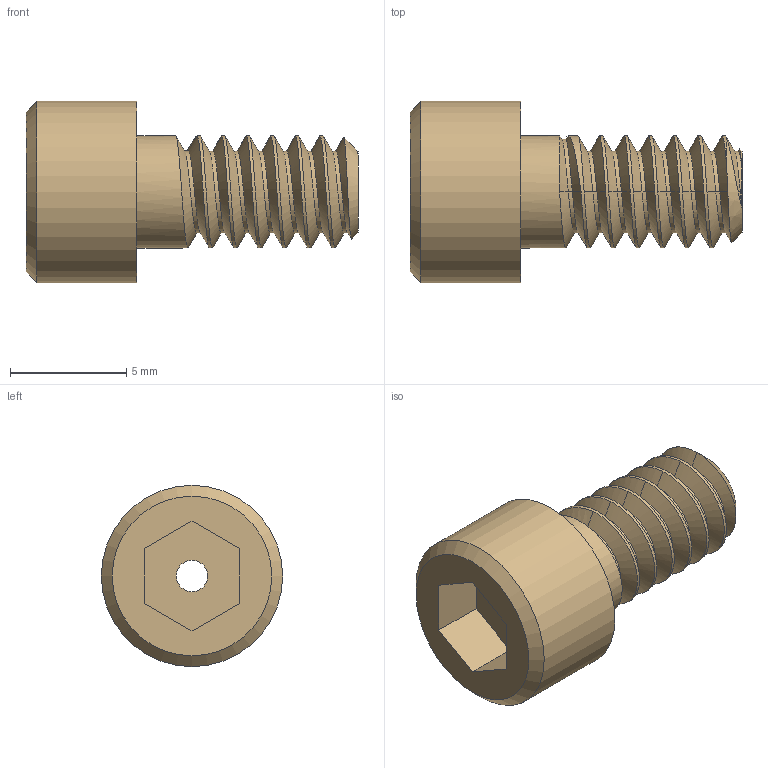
import cadquery as cq
import math

INCH = 25.4

overall_length = 14.3
shank_length = 0.375 * INCH
head_height = overall_length - shank_length
head_diameter = 7.81
head_chamfer = 0.06 * head_diameter

socket_across_flats = 4.1
socket_depth = 0.090 * INCH

vent_diameter = 1.35

thread_radius = 0.190 * INCH / 2
pitch = INCH / 24
half_flank_angle = math.radians(60 / 2)
crest_width = pitch / 8
thread_depth = 0.6134 * pitch
root_half_width = (pitch - crest_width) / 2 - thread_depth * math.tan(half_flank_angle)
tip_chamfer = 0.66

full_depth_start = 2.13
start_angle = 90
runout_angle = 120
runout_sections = 9

clearance = 0.1


def turn_to_screw_axis(shape):
    """Turn a shape built around Z so that its X, Y, Z become Y, Z, X."""
    return shape.rotate(cq.Vector(0, 0, 0), cq.Vector(1, 1, 1), 120)


def make_blank():
    """Head and shank as one turned body with a chamfered head and tip."""
    head = cq.Workplane("YZ").circle(head_diameter / 2).extrude(-head_height)
    head = head.faces("<X").chamfer(head_chamfer)
    shank = cq.Workplane("YZ").circle(thread_radius).extrude(shank_length)
    shank = shank.faces(">X").chamfer(tip_chamfer)
    return head.union(shank)


def make_socket():
    """Hexagonal prism with corners towards +Z and -Z."""
    across_corners = socket_across_flats / math.cos(math.pi / 6)
    return (
        cq.Workplane("YZ", origin=(-head_height, 0, 0))
        .transformed(rotate=(0, 0, 90))
        .polygon(6, across_corners)
        .extrude(socket_depth)
    )


def make_vent():
    """Round hole through the head and shank."""
    return (
        cq.Workplane("YZ", origin=(-head_height, 0, 0))
        .circle(vent_diameter / 2)
        .extrude(overall_length)
    )


def groove_corners(root_radius):
    """Corners of the groove outline, each as its radius and its offset along the axis."""
    outer_radius = root_radius + thread_depth + clearance
    outer_half_width = root_half_width + (outer_radius - root_radius) * math.tan(half_flank_angle)
    return [
        (root_radius, -root_half_width),
        (root_radius, root_half_width),
        (outer_radius, outer_half_width),
        (outer_radius, -outer_half_width),
    ]


def make_groove_turn():
    """First full-depth turn of the groove, bounded by ruled faces between helices."""
    helices = []
    for radius, offset in groove_corners(thread_radius - thread_depth):
        start = cq.Vector(0, 0, full_depth_start + offset)
        helix = cq.Wire.makeHelix(pitch, pitch, radius, start)
        helices.append(helix.rotate(cq.Vector(0, 0, 0), cq.Vector(0, 0, 1), start_angle))

    faces = []
    for index, helix in enumerate(helices):
        faces += cq.Face.makeRuledSurface(helices[index - 1], helix).Faces()
    start_points = [helix.startPoint() for helix in helices]
    end_points = [helix.endPoint() for helix in helices]
    for points in (start_points, end_points):
        faces.append(cq.Face.makeFromWires(cq.Wire.makePolygon(points, close=True)))
    return turn_to_screw_axis(cq.Solid.makeSolid(cq.Shell.makeShell(faces)))


def runout_section(fraction):
    """Groove outline in the runout, from full depth (0) to the shank surface (1)."""
    turned_angle = -runout_angle * fraction
    direction = math.radians(start_angle + turned_angle)
    centre = full_depth_start + pitch * turned_angle / 360
    root_radius = thread_radius - thread_depth * (1 - fraction)
    corners = [
        cq.Vector(radius * math.cos(direction), radius * math.sin(direction), centre + offset)
        for radius, offset in groove_corners(root_radius)
    ]
    return cq.Wire.makePolygon(corners, close=True)


def make_groove_runout():
    """Stretch of groove that rises steadily from full depth to the shank surface."""
    sections = [runout_section(index / (runout_sections - 1)) for index in range(runout_sections)]
    return turn_to_screw_axis(cq.Solid.makeLoft(sections))


def cut_thread(body):
    """Cut the runout, then one turn after another until the groove leaves through the tip."""
    body = body.cut(cq.Workplane(make_groove_runout()))
    turn = make_groove_turn()
    turn_count = math.ceil((shank_length + pitch / 2 - full_depth_start) / pitch)
    for index in range(turn_count):
        body = body.cut(cq.Workplane(turn.translate(cq.Vector(index * pitch, 0, 0))))
    return body


result = cut_thread(make_blank()).cut(make_socket()).cut(make_vent())